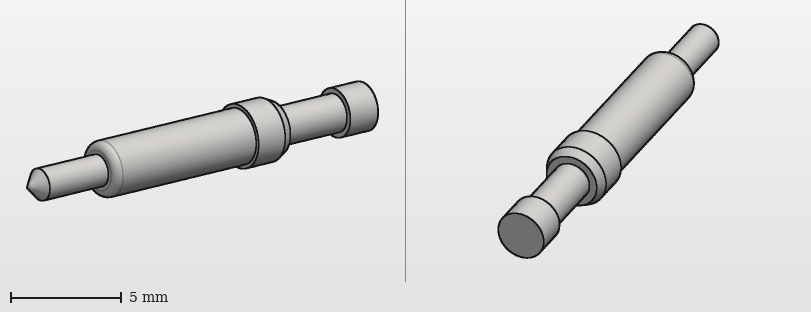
import cadquery as cq

total_length = 19.2
head_diameter = 2.3
head_length = 1.6
neck_diameter = 1.8
neck_length = 3.51
collar_diameter = 3.0
collar_length = 2.0
collar_taper_length = 0.48
collar_taper_depth = 0.23
barrel_diameter = 2.63
barrel_length = 8.0
barrel_end_radius = 0.38
plunger_diameter = 1.5
tip_length = plunger_diameter / 2

head_back = total_length / 2
head_front = head_back - head_length
collar_back = head_front - neck_length
collar_front = collar_back - collar_length
barrel_front = collar_front - barrel_length
tip_end = -total_length / 2
tip_base = tip_end + tip_length


def cylinder(diameter, y_front, y_back):
    """Solid cylinder on the Y axis between two stations."""
    base = cq.Workplane("XZ", origin=(0, y_front, 0))
    return base.circle(diameter / 2).extrude(y_front - y_back)


def make_collar():
    """Press-fit collar, tapered on the side facing the head."""
    collar = cylinder(collar_diameter, collar_front, collar_back)
    return collar.faces(">Y").chamfer(collar_taper_length, collar_taper_depth)


def make_barrel():
    """Barrel with a rounded front end."""
    barrel = cylinder(barrel_diameter, barrel_front, collar_front)
    return barrel.faces("<Y").edges().fillet(barrel_end_radius)


def make_plunger():
    """Plunger rod ending in a sharp cone."""
    radius = plunger_diameter / 2
    half_profile = (
        cq.Workplane("XY")
        .moveTo(0, tip_end)
        .lineTo(radius, tip_base)
        .lineTo(radius, barrel_front)
        .lineTo(0, barrel_front)
        .close()
    )
    return half_profile.revolve(360, (0, 0, 0), (0, 1, 0))


head = cylinder(head_diameter, head_front, head_back)
neck = cylinder(neck_diameter, collar_back, head_front)

result = head.union(neck).union(make_collar()).union(make_barrel()).union(make_plunger())